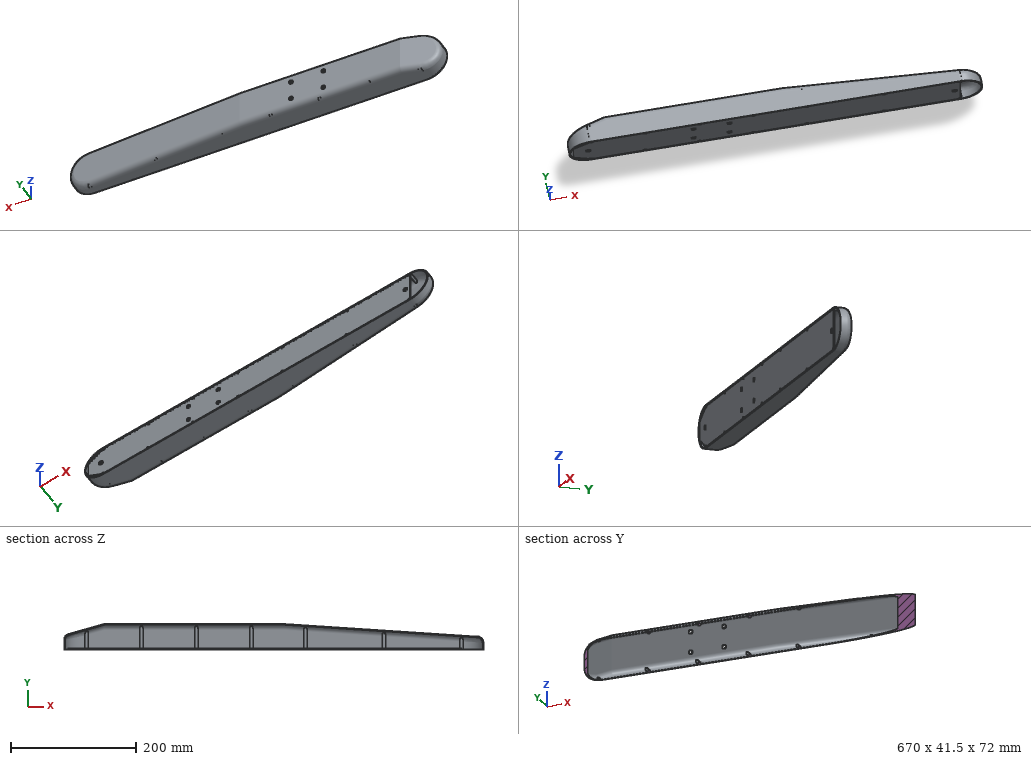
import cadquery as cq

LENGTH = 670.0
WIDTH = 72.0
HEIGHT = 41.5
WALL = 2.0
EDGE_RADIUS = 10.0

LEFT_END_HEIGHT = 23.5
RIGHT_END_HEIGHT = 21.0
FLAT_START = 63.5
FLAT_END = 352.5

PLATE_THICKNESS = 2.0
PLATE_RECESS = 0.35
PLATE_START = 7.0
PLATE_TIP_WIDTH = 33.5

MOUNT_HOLE_DIAMETER = 7.0
END_HOLE_DIAMETER = 7.5
MOUNT_HOLES_X = (202.0, 260.0)
MOUNT_HOLE_Z = 17.5
END_HOLES_X = (31.0, 625.0)

POST_RADIUS = 3.0

END_RADIUS = WIDTH / 2
INNER_WIDTH = WIDTH - 2 * WALL
TAPER_END = END_RADIUS
PLATE_END = LENGTH - END_RADIUS
POSTS_X = (TAPER_END, 123.0, 211.0, 299.0, 385.0, 510.5, PLATE_END)


def extrude_back(sketch, start, end):
    """Extrude an XZ sketch towards +Y, from y = start to y = end."""
    return sketch.extrude(start - end).translate((0, start, 0))


def back_height(start, end, x):
    """Height at x of the straight line through two (x, y) points."""
    slope = (end[1] - start[1]) / (end[0] - start[0])
    return start[1] + slope * (x - start[0])


def sloped_block(start, end, inset):
    """Round-ended block whose back is the plane through two (x, y) points, with a rounded back edge."""
    left_height = back_height(start, end, 0) - inset
    right_height = back_height(start, end, LENGTH) - inset
    side = (
        cq.Workplane("XY")
        .polyline([(0, 0), (LENGTH, 0), (LENGTH, right_height), (0, left_height)])
        .close()
        .extrude(WIDTH, both=True)
    )
    outline = cq.Workplane("XZ").center(LENGTH / 2, 0).slot2D(LENGTH - 2 * inset, WIDTH - 2 * inset)
    block = extrude_back(outline, 0, max(left_height, right_height)).intersect(side)
    back_centre = (LENGTH / 2, (left_height + right_height) / 2, 0)
    back_face = block.faces(cq.selectors.NearestToPointSelector(back_centre))
    return back_face.edges().fillet(EDGE_RADIUS - inset)


def housing_body(inset):
    """Housing shape moved inwards by inset; the three back planes meet in creases."""
    left_end = (0, LEFT_END_HEIGHT)
    flat_start = (FLAT_START, HEIGHT)
    flat_end = (FLAT_END, HEIGHT)
    right_end = (LENGTH, RIGHT_END_HEIGHT)
    middle = sloped_block(flat_start, flat_end, inset)
    left = sloped_block(left_end, flat_start, inset)
    right = sloped_block(flat_end, right_end, inset)
    return middle.intersect(left).intersect(right)


def cover_plate():
    """Flat plate with a tapered left tip."""
    outline = (
        cq.Workplane("XZ")
        .moveTo(PLATE_START, -PLATE_TIP_WIDTH / 2)
        .lineTo(TAPER_END, -INNER_WIDTH / 2)
        .lineTo(PLATE_END, -INNER_WIDTH / 2)
        .lineTo(PLATE_END, INNER_WIDTH / 2)
        .lineTo(TAPER_END, INNER_WIDTH / 2)
        .lineTo(PLATE_START, PLATE_TIP_WIDTH / 2)
        .close()
    )
    return extrude_back(outline, PLATE_RECESS, PLATE_RECESS + PLATE_THICKNESS)


def posts():
    """Posts from the rim to the back, centred on both inner wall faces."""
    points = [(x, side * INNER_WIDTH / 2) for x in POSTS_X for side in (-1, 1)]
    return extrude_back(cq.Workplane("XZ").pushPoints(points).circle(POST_RADIUS), 0, HEIGHT)


def hole_cutters(points, diameter, depth):
    """Round cutters reaching from the rim plane to the given depth."""
    return extrude_back(cq.Workplane("XZ").pushPoints(points).circle(diameter / 2), 0, depth)


outer = housing_body(0)
housing = outer.cut(housing_body(WALL))
inside = cover_plate().union(posts()).intersect(outer)

mount_points = [(x, side * MOUNT_HOLE_Z) for x in MOUNT_HOLES_X for side in (-1, 1)]
end_points = [(x, 0) for x in END_HOLES_X]

result = (
    housing.union(inside)
    .cut(hole_cutters(mount_points, MOUNT_HOLE_DIAMETER, HEIGHT))
    .cut(hole_cutters(end_points, END_HOLE_DIAMETER, PLATE_RECESS + PLATE_THICKNESS))
)